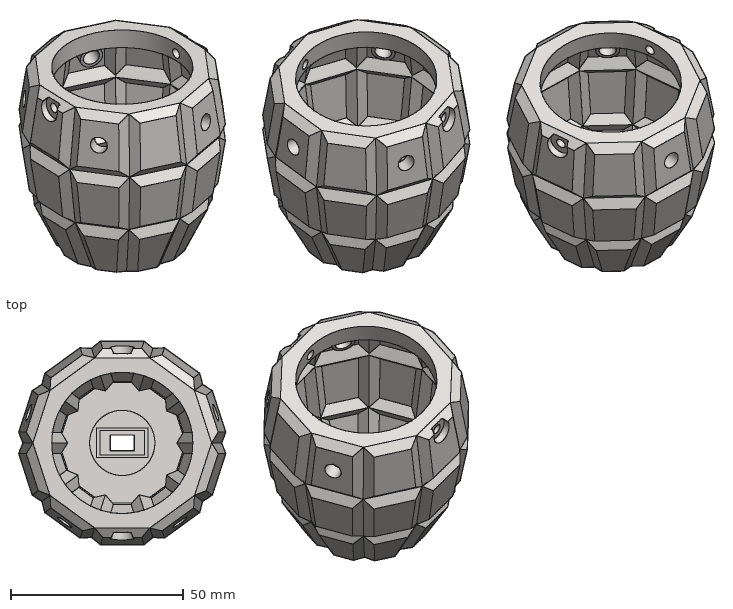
import cadquery as cq
import math

SIDES = 10
HEIGHT = 59.25
TIER_HEIGHT = HEIGHT / 3
BOTTOM_RADIUS = 17.0
WAIST_RADIUS = 25.95
BULGE_RADIUS = 28.9
TOP_RADIUS = 25.95

PANEL_HEIGHT = 2.45
PANEL_TAPER = 45

WALL = 2.45
UPPER_WALL = 2.1
FLOOR = 3.0
POCKET_BASE = 1.85
LEDGE_HEIGHT = 0.4
RIM_HEIGHT = 6.0
MOUTH_DIAMETER = 41.0

WINDOW_DIAMETER = 5.0
BUSH_DIAMETER = 7.0
WINDOW_ANGLES = (18, 162, 234, 306)

SCREW_DIAMETER = 3.0
SCREW_HEAD_DIAMETER = 7.0
SCREW_SEAT = 25.95
SCREW_DROP = 3.55
SCREW_ANGLES = (90, 270)

RECESS_DIAMETER = 19.0
OUTER_POCKET = (14.8, 8.55)
INNER_POCKET = (13.0, 7.1)
OPENING = (6.9, 4.5)
STEP_DEPTH = 0.6

HALF_ANGLE = math.pi / SIDES
BEYOND = HEIGHT

LOWER_TIER = (0, TIER_HEIGHT, BOTTOM_RADIUS, WAIST_RADIUS)
MIDDLE_TIER = (TIER_HEIGHT, 2 * TIER_HEIGHT, WAIST_RADIUS, BULGE_RADIUS)
UPPER_TIER = (2 * TIER_HEIGHT, HEIGHT, BULGE_RADIUS, TOP_RADIUS)


def radius_at(z, low_z, high_z, low_radius, high_radius):
    """Corner radius of a tier at the given level."""
    return low_radius + (high_radius - low_radius) * (z - low_z) / (high_z - low_z)


def frustum(low_z, high_z, low_radius, high_radius):
    """Ten-sided frustum with a corner on the X axis."""
    return (
        cq.Workplane("XY", origin=(0, 0, low_z))
        .polygon(SIDES, 2 * low_radius)
        .workplane(offset=high_z - low_z)
        .polygon(SIDES, 2 * high_radius)
        .loft(ruled=True)
    )


def side_plane(angle, low_z, high_z, low_radius, high_radius):
    """Plane at the middle of a frustum side, its normal pointing out and its y axis up the slope."""
    low_reach = low_radius * math.cos(HALF_ANGLE)
    high_reach = high_radius * math.cos(HALF_ANGLE)
    middle = (low_reach + high_reach) / 2
    tilt = math.atan2(low_reach - high_reach, high_z - low_z)
    outward = math.cos(tilt)
    return cq.Plane(
        origin=(middle * math.cos(angle), middle * math.sin(angle), (low_z + high_z) / 2),
        xDir=(-math.sin(angle), math.cos(angle), 0),
        normal=(outward * math.cos(angle), outward * math.sin(angle), math.sin(tilt)),
    )


def panel(angle, low_z, high_z, low_radius, high_radius):
    """Tapered block covering the side of a frustum that faces the given angle."""
    reach_change = (high_radius - low_radius) * math.cos(HALF_ANGLE)
    half_slant = math.hypot(high_z - low_z, reach_change) / 2
    low_half_width = low_radius * math.sin(HALF_ANGLE)
    high_half_width = high_radius * math.sin(HALF_ANGLE)
    outline = [
        (-low_half_width, -half_slant),
        (low_half_width, -half_slant),
        (high_half_width, half_slant),
        (-high_half_width, half_slant),
    ]
    side = side_plane(angle, low_z, high_z, low_radius, high_radius)
    return cq.Workplane(side).polyline(outline).close().extrude(PANEL_HEIGHT, taper=PANEL_TAPER)


def panelled_tier(*tier):
    """Frustum with a panel on each of its sides."""
    body = frustum(*tier)
    for index in range(SIDES):
        body = body.union(panel((2 * index + 1) * HALF_ANGLE, *tier))
    return body


def outside():
    lower = panelled_tier(*LOWER_TIER)
    middle = panelled_tier(*MIDDLE_TIER)
    upper = panelled_tier(*UPPER_TIER)
    return lower.union(middle).union(upper)


def hollow():
    """Room that follows the outside between the floor and the rim, and the round mouth above it."""
    base = radius_at(POCKET_BASE, *LOWER_TIER) - WALL
    waist = WAIST_RADIUS - WALL
    bulge = BULGE_RADIUS - WALL
    ledge_bottom = 2 * TIER_HEIGHT
    ledge_top = ledge_bottom + LEDGE_HEIGHT
    rim_bottom = HEIGHT - RIM_HEIGHT
    ledge_radius = radius_at(ledge_top, *UPPER_TIER) - UPPER_WALL
    rim_radius = radius_at(rim_bottom, *UPPER_TIER) - UPPER_WALL

    lower = panelled_tier(POCKET_BASE, TIER_HEIGHT, base, waist)
    middle = panelled_tier(TIER_HEIGHT, ledge_bottom, waist, bulge)
    ledge = frustum(ledge_bottom, ledge_top, bulge, ledge_radius)
    upper = panelled_tier(ledge_top, rim_bottom, ledge_radius, rim_radius)
    above_floor = cq.Workplane("XY", origin=(0, 0, FLOOR)).circle(BEYOND).extrude(rim_bottom - FLOOR)
    mouth = cq.Workplane("XY", origin=(0, 0, rim_bottom)).circle(MOUTH_DIAMETER / 2).extrude(RIM_HEIGHT)
    return lower.union(middle).union(ledge).union(upper).intersect(above_floor).union(mouth)


def floor_recess():
    """Round recess, two rectangular steps below it and an opening through the bottom."""
    cut = cq.Workplane("XY", origin=(0, 0, FLOOR - STEP_DEPTH)).circle(RECESS_DIAMETER / 2).extrude(STEP_DEPTH)
    for steps, size in ((2, OUTER_POCKET), (3, INNER_POCKET)):
        depth = steps * STEP_DEPTH
        cut = cut.union(cq.Workplane("XY", origin=(0, 0, FLOOR - depth)).rect(*size).extrude(depth))
    return cut.union(cq.Workplane("XY").rect(*OPENING).extrude(FLOOR))


def side_cylinder(degrees, diameter, start, end):
    """Cylinder square to a side of the upper tier, between two levels measured from that side."""
    side = side_plane(math.radians(degrees), *UPPER_TIER)
    return cq.Workplane(side).workplane(offset=start).circle(diameter / 2).extrude(end - start)


def screw_cylinder(degrees, diameter, start):
    """Horizontal cylinder running outwards through the rim from the given distance off the axis."""
    angle = math.radians(degrees)
    direction = cq.Vector(math.cos(angle), math.sin(angle), 0)
    origin = direction * start + cq.Vector(0, 0, HEIGHT - SCREW_DROP)
    plane = cq.Plane(origin=origin, xDir=(0, 0, 1), normal=direction)
    return cq.Workplane(plane).circle(diameter / 2).extrude(BEYOND)


result = outside().cut(hollow()).cut(floor_recess())

for degrees in WINDOW_ANGLES:
    bush = side_cylinder(degrees, BUSH_DIAMETER, -WALL, PANEL_HEIGHT / 2)
    window = side_cylinder(degrees, WINDOW_DIAMETER, -WALL, 2 * PANEL_HEIGHT)
    result = result.union(bush).cut(window)

for degrees in SCREW_ANGLES:
    result = result.cut(screw_cylinder(degrees, SCREW_DIAMETER, 0))
    result = result.cut(screw_cylinder(degrees, SCREW_HEAD_DIAMETER, SCREW_SEAT))